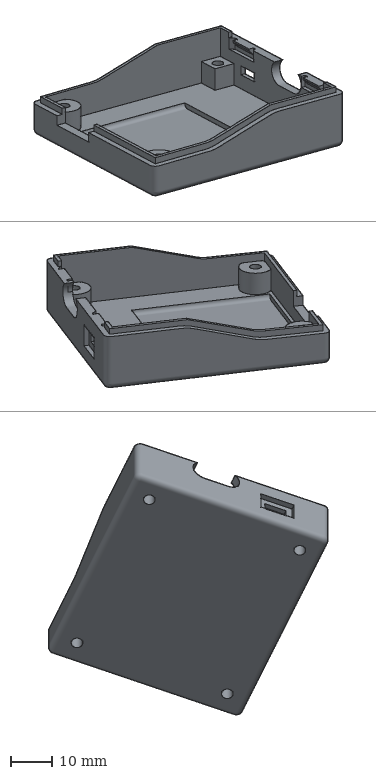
import cadquery as cq

LENGTH_X = 50.53
LENGTH_Y = 56.88
LIP_TOP_Z = 15.26
CORNER_RADIUS = 1.6
BOTTOM_RADIUS = 1.4
LEDGE_WIDTH = 1.55
LIP_THICKNESS = 0.92
WALL = LEDGE_WIDTH + LIP_THICKNESS
FLOOR_Z = 2.2

HALF_X = LENGTH_X / 2
HALF_Y = LENGTH_Y / 2
INNER_X = HALF_X - WALL
INNER_Y = HALF_Y - WALL

LEDGE_REAR_Z = 13.83
LEDGE_FRONT_Z = 8.16
LIP_FRONT_Z = 9.77
LEDGE_CREST_Y = 7.6
RIM_FOOT_Y = -10.5
LIP_CREST_Y = 7.3
RIM_FOOT_RISE = 0.2
CREST_RADIUS = 12.0
FOOT_RADIUS = 10.0

BOSS_TOP_Z = 7.8
BOSS_RADIUS = 4.05
SCREW_HOLE_DIAMETER = 2.8
SCREW_X = 19.63
SCREW_FRONT_Y = -22.8
SCREW_REAR_RIGHT_Y = 22.87
SCREW_REAR_LEFT_Y = 22.97
SQUARE_BOSS_SIDE = 5.65

RECESS_X_MIN = -14.97
RECESS_X_MAX = 15.13
RECESS_Y_MIN = -25.04
RECESS_Y_MAX = 9.73
RECESS_EDGE_RADIUS = 1.2
RECESS_STRAIGHT_SIDE = 0.02
RECESS_DEPTH = RECESS_EDGE_RADIUS + RECESS_STRAIGHT_SIDE

NOTCH_X_MIN = -14.72
NOTCH_X_MAX = -1.68
NOTCH_FLOOR_Z = 5.7

LIP_GAP_X_MIN = -19.35
LIP_GAP_X_MAX = 19.8
PORT_CENTER_X = 4.45
PORT_CENTER_Z = 11.4
PORT_WIDTH = 12.15
PORT_HEIGHT = 6.2
WINDOW_X_MIN = -14.27
WINDOW_X_MAX = -8.8
WINDOW_Z_MIN = 5.85
WINDOW_Z_MAX = 8.16
WINDOW_WALL = 1.2
WINDOW_RECESS_MARGIN = 1.6

POCKET_FLOOR_Z = 10.9
POCKET_DEPTH = 1.12
POCKET_BACK_WIDTH = 8.1
POCKET_FLARE = 1.05
LEFT_POCKET_X = -18.2
RIGHT_POCKET_X = 10.65
CATCH_OFFSET_X = 0.9
CATCH_WIDTH = 6.65
CATCH_ROOT_Z = 11.95
CATCH_TIP_Z = 13.4
CATCH_OVERHANG = 0.22

BEND_REACH = 0.5

CLEARANCE = 1.0


def box(x_min, x_max, y_min, y_max, z_min, z_max):
    """Axis-aligned block between the given limits."""
    return cq.Workplane("XY").box(
        x_max - x_min, y_max - y_min, z_max - z_min, centered=False
    ).translate((x_min, y_min, z_min))


def rim_side_profile(half_length, rear_z, front_z, crest_y, foot_y):
    """Side outline under a rim that runs high at the rear and slopes to the front, across all X."""
    return (
        cq.Workplane("YZ", origin=(-HALF_X, 0, 0))
        .moveTo(-half_length, 0)
        .lineTo(half_length, 0)
        .lineTo(half_length, rear_z)
        .lineTo(crest_y, rear_z)
        .lineTo(foot_y, front_z + RIM_FOOT_RISE)
        .lineTo(-half_length, front_z)
        .close()
        .extrude(LENGTH_X)
    )


def round_rim_bend(solid, y, radius):
    """Round the crosswise rim edge that lies at the given Y."""
    bend = cq.selectors.BoxSelector(
        (-HALF_X, y - BEND_REACH, FLOOR_Z),
        (HALF_X, y + BEND_REACH, LIP_TOP_Z + BEND_REACH),
    )
    return solid.edges("|X").edges(bend).fillet(radius)


def make_shell():
    """Open tray: rounded outer body up to the ledge, with a thinner lip above it."""
    envelope = (
        cq.Workplane("XY")
        .rect(LENGTH_X, LENGTH_Y)
        .extrude(LIP_TOP_Z)
        .edges("|Z")
        .fillet(CORNER_RADIUS)
        .faces("<Z")
        .edges()
        .fillet(BOTTOM_RADIUS)
    )
    ledge_profile = rim_side_profile(HALF_Y, LEDGE_REAR_Z, LEDGE_FRONT_Z, LEDGE_CREST_Y, RIM_FOOT_Y)
    ledge_profile = round_rim_bend(ledge_profile, LEDGE_CREST_Y, CREST_RADIUS)
    ledge_profile = round_rim_bend(ledge_profile, RIM_FOOT_Y, FOOT_RADIUS)
    body = envelope.intersect(ledge_profile)

    lip_x = HALF_X - LEDGE_WIDTH
    lip_y = HALF_Y - LEDGE_WIDTH
    lip_profile = rim_side_profile(lip_y, LIP_TOP_Z, LIP_FRONT_Z, LIP_CREST_Y, RIM_FOOT_Y)
    lip_profile = round_rim_bend(lip_profile, RIM_FOOT_Y, FOOT_RADIUS)
    lip = box(-lip_x, lip_x, -lip_y, lip_y, FLOOR_Z, LIP_TOP_Z).intersect(lip_profile)

    cavity = box(-INNER_X, INNER_X, -INNER_Y, INNER_Y, FLOOR_Z, LIP_TOP_Z + CLEARANCE)
    return body.union(lip).cut(cavity)


def round_boss(x, y):
    """Screw boss trimmed to the inside of the cavity walls."""
    post = cq.Workplane("XY").center(x, y).circle(BOSS_RADIUS).extrude(BOSS_TOP_Z)
    return post.intersect(box(-INNER_X, INNER_X, -INNER_Y, INNER_Y, FLOOR_Z, BOSS_TOP_Z))


def add_bosses(part):
    """Three round bosses and one square boss, all bored through the floor."""
    round_positions = [
        (-SCREW_X, SCREW_FRONT_Y),
        (SCREW_X, SCREW_FRONT_Y),
        (SCREW_X, SCREW_REAR_RIGHT_Y),
    ]
    for x, y in round_positions:
        part = part.union(round_boss(x, y))
    square_boss = box(
        -INNER_X, SQUARE_BOSS_SIDE - INNER_X, INNER_Y - SQUARE_BOSS_SIDE, INNER_Y, FLOOR_Z, BOSS_TOP_Z
    )
    part = part.union(square_boss)
    hole_positions = round_positions + [(-SCREW_X, SCREW_REAR_LEFT_Y)]
    holes = cq.Workplane("XY").pushPoints(hole_positions).circle(SCREW_HOLE_DIAMETER / 2).extrude(LIP_TOP_Z)
    return part.cut(holes)


def cut_battery_recess(part):
    """Shallow floor recess with rounded bottom edges along both long sides."""
    recess = box(
        RECESS_X_MIN, RECESS_X_MAX, RECESS_Y_MIN, RECESS_Y_MAX, FLOOR_Z - RECESS_DEPTH, FLOOR_Z
    )
    recess = recess.faces("<Z").edges("|Y").fillet(RECESS_EDGE_RADIUS)
    return part.cut(recess)


def cut_front_notch(part):
    """Square notch through the front wall, open at the top."""
    notch = box(
        NOTCH_X_MIN, NOTCH_X_MAX, -HALF_Y - CLEARANCE, -INNER_Y, NOTCH_FLOOR_Z, LIP_TOP_Z + CLEARANCE
    )
    return part.cut(notch)


def cut_rear_openings(part):
    """Gap in the rear lip, round-ended connector port and small window recessed from outside."""
    outside_y = HALF_Y + CLEARANCE
    lip_gap = box(LIP_GAP_X_MIN, LIP_GAP_X_MAX, INNER_Y, outside_y, LEDGE_REAR_Z, LIP_TOP_Z + CLEARANCE)
    port = (
        cq.Workplane("XZ", origin=(PORT_CENTER_X, outside_y, PORT_CENTER_Z))
        .slot2D(PORT_WIDTH, PORT_HEIGHT)
        .extrude(outside_y - INNER_Y)
    )
    window = box(WINDOW_X_MIN, WINDOW_X_MAX, INNER_Y, outside_y, WINDOW_Z_MIN, WINDOW_Z_MAX)
    window_recess = box(
        WINDOW_X_MIN - WINDOW_RECESS_MARGIN,
        WINDOW_X_MAX + WINDOW_RECESS_MARGIN,
        INNER_Y + WINDOW_WALL,
        outside_y,
        WINDOW_Z_MIN - WINDOW_RECESS_MARGIN,
        WINDOW_Z_MAX + WINDOW_RECESS_MARGIN,
    )
    return part.cut(lip_gap).cut(port).cut(window).cut(window_recess)


def add_snap_pocket(part, back_x, left_flare, right_flare):
    """Pocket in the inner face of the rear wall, with a catch that hangs over it."""
    back_y = INNER_Y + POCKET_DEPTH
    pocket = (
        cq.Workplane("XY", origin=(0, 0, POCKET_FLOOR_Z))
        .moveTo(back_x, back_y)
        .lineTo(back_x + POCKET_BACK_WIDTH, back_y)
        .lineTo(back_x + POCKET_BACK_WIDTH + right_flare, INNER_Y)
        .lineTo(back_x - left_flare, INNER_Y)
        .close()
        .extrude(LEDGE_REAR_Z - POCKET_FLOOR_Z)
    )
    tip_y = INNER_Y - CATCH_OVERHANG
    catch = (
        cq.Workplane("YZ", origin=(back_x + CATCH_OFFSET_X, 0, 0))
        .moveTo(back_y, CATCH_ROOT_Z)
        .lineTo(back_y, LEDGE_REAR_Z)
        .lineTo(tip_y, LEDGE_REAR_Z)
        .lineTo(tip_y, CATCH_TIP_Z)
        .close()
        .extrude(CATCH_WIDTH)
    )
    return part.cut(pocket).union(catch)


result = make_shell()
result = add_bosses(result)
result = cut_battery_recess(result)
result = cut_front_notch(result)
result = cut_rear_openings(result)
result = add_snap_pocket(result, LEFT_POCKET_X, POCKET_FLARE, POCKET_FLARE)
result = add_snap_pocket(result, RIGHT_POCKET_X, 0, POCKET_FLARE)